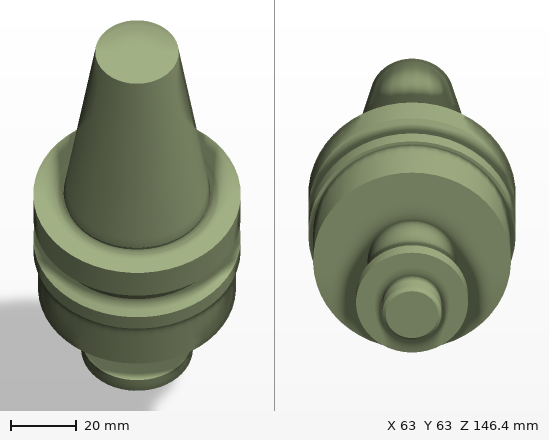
import cadquery as cq

total_height = 146.4
flange_bottom = 54.0
body_bottom = 36.0
pilot_bottom = 18.0
washer_top = 13.0
washer_bottom = 8.0
flange_top = 80.1
gauge_level = 81.0
neck_top = 80.5

taper_small_diameter = 25.3
gauge_diameter = 44.5
neck_diameter = 43.9
flange_diameter = 63.0
groove_diameter = 53.0
body_diameter = 60.0
pilot_diameter = 27.0
shank_diameter = 12.0
washer_diameter = 34.0
head_diameter = 18.0

groove_center = 64.4
groove_floor_width = 4.8
groove_mouth_width = 10.1

recess_mouth_diameter = 49.8
recess_floor_diameter = 47.7
recess_depth = 0.22

head_chamfer = 1.0


def cylinder(diameter, bottom, top):
    """Solid cylinder on the Z axis between two levels."""
    return cq.Workplane("XY").workplane(offset=bottom).circle(diameter / 2).extrude(top - bottom)


def revolved(profile):
    """Solid of revolution about Z from (diameter, level) corners, closed along the axis."""
    points = [(0, profile[0][1])]
    points += [(diameter / 2, level) for diameter, level in profile]
    points.append((0, profile[-1][1]))
    return cq.Workplane("XZ").polyline(points).close().revolve(360, (0, 0), (0, 1))


def make_flange():
    flange = revolved([
        (flange_diameter, flange_bottom),
        (flange_diameter, groove_center - groove_mouth_width / 2),
        (groove_diameter, groove_center - groove_floor_width / 2),
        (groove_diameter, groove_center + groove_floor_width / 2),
        (flange_diameter, groove_center + groove_mouth_width / 2),
        (flange_diameter, flange_top),
    ])
    recess = revolved([
        (recess_floor_diameter, flange_top - recess_depth),
        (recess_mouth_diameter, flange_top),
    ])
    return flange.cut(recess)


def make_taper():
    return revolved([
        (neck_diameter, flange_top - recess_depth),
        (neck_diameter, neck_top),
        (gauge_diameter, gauge_level),
        (taper_small_diameter, total_height),
    ])


def make_arbor():
    body = cylinder(body_diameter, body_bottom, flange_bottom)
    pilot = cylinder(pilot_diameter, pilot_bottom, body_bottom)
    return body.union(pilot)


def make_clamping_screw():
    shank = cylinder(shank_diameter, washer_top, pilot_bottom)
    washer = cylinder(washer_diameter, washer_bottom, washer_top)
    head = cylinder(head_diameter, 0, washer_bottom).faces("<Z").chamfer(head_chamfer)
    return shank.union(washer).union(head)


result = make_flange().union(make_taper()).union(make_arbor()).union(make_clamping_screw())